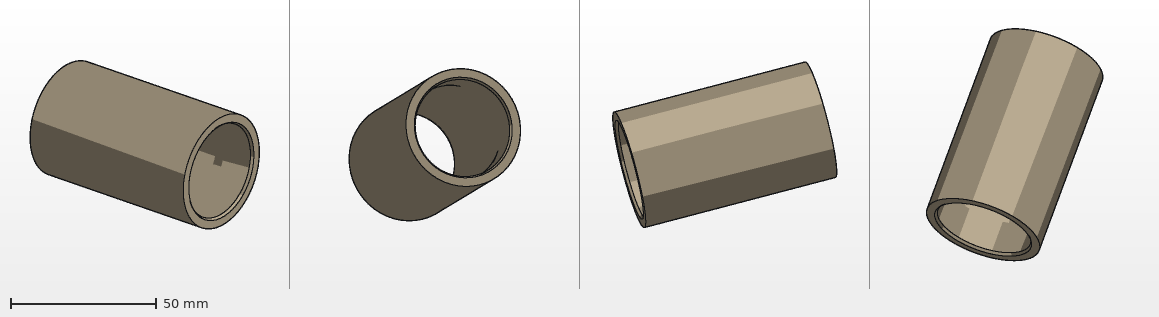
import cadquery as cq

length = 68.5
outer_radius = 20.6
land_radius = 17.0
mouth_flare = 0.6
mouth_length = 1.0
relief_depth = 0.95
land_end = 12.6
taper_length = 4.25

mouth_radius = land_radius + mouth_flare
relief_radius = land_radius + relief_depth
relief_start = land_end + taper_length

bore_half = [
    (0, mouth_radius),
    (mouth_length, land_radius),
    (land_end, land_radius),
    (relief_start, relief_radius),
]
bore_mirrored = [(length - x, radius) for x, radius in reversed(bore_half)]
section = bore_half + bore_mirrored + [(length, outer_radius), (0, outer_radius)]

result = (
    cq.Workplane("XY")
    .polyline(section)
    .close()
    .revolve(360, (0, 0, 0), (1, 0, 0))
    .translate((-length / 2, 0, 0))
)